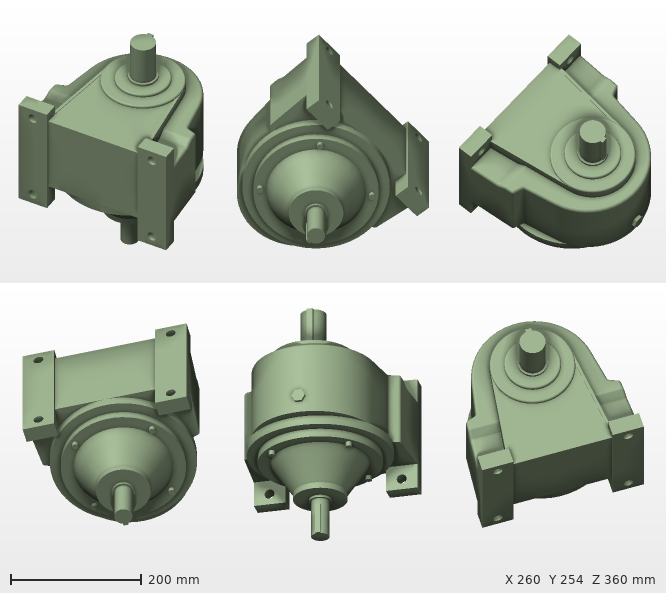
import cadquery as cq
import math


FOOT_FACE_Y = -160.0
FOOT_DEPTH = 25.0
FEET_SPAN = 260.0
FOOT_WIDTH = 50.0
FOOT_BOTTOM_Z = -40.5
FOOT_HEIGHT = 185.0
MOUNTING_HOLE_DIAMETER = 15.5
MOUNTING_HOLE_SPACING_X = 210.0
MOUNTING_HOLE_SPACING_Z = 150.0
FOOT_BACK_Y = FOOT_FACE_Y + FOOT_DEPTH
FOOT_X = (FEET_SPAN - FOOT_WIDTH) / 2
FOOT_Z = FOOT_BOTTOM_Z + FOOT_HEIGHT / 2

CASE_HEIGHT = 115.5
CASE_STEP_DROP = 7.2
CASE_STEP_Y = -71.3
CASE_STEP_ANGLE = math.radians(27)
CASE_ROUND_RADIUS = 97.5
CASE_ROUND_Y = -10.0
CASE_WALL_ANGLE = math.radians(10.5)
SHOULDER_INNER_Y = -48.5
SHOULDER_OUTER_X = 124.2
SHOULDER_OUTER_Y = -54.7
CASE_BACK_Y = CASE_ROUND_Y + CASE_ROUND_RADIUS
CASE_FILLET = 5.0
CASE_RIM_FILLET = 4.5
EDGE_MARGIN = 3.5

HUB_TOP_Z = 130.0
HUB_RADIUS = 66.0
HUB_WALL_ANGLE = math.radians(7.4)
FRONT_WALL_Y = -155.5
HUB_RECESS_DEPTH = 1.0
HUB_RECESS_MARGIN = 4.5
HUB_PLATE_HEIGHT = 3.42
BOSS_RADIUS = 44.0
BOSS_HEIGHT = 5.0
HUB_FILLET = 3.0
PLATE_TOP_Z = HUB_TOP_Z + HUB_PLATE_HEIGHT
BOSS_TOP_Z = PLATE_TOP_Z + BOSS_HEIGHT

PLUG_END_Y = 94.0
PLUG_HEAD_THICKNESS = 5.5
PLUG_ACROSS_FLATS = 18.7
PLUG_NECK_DIAMETER = 15.0
PLUG_Z = 26.0

INPUT_Y = -42.0
FLANGE_RADIUS = 113.5
FLANGE_THICKNESS = 14.8

COVER_RADIUS = 96.5
COVER_THICKNESS = 13.0
CONE_TOP_RADIUS = 76.5
CONE_HEIGHT = 52.0
NECK_RADIUS = 42.0
NECK_HEIGHT = 9.7
SCREW_COUNT = 4
SCREW_CIRCLE_RADIUS = 86.5
SCREW_HEAD_DIAMETER = 9.7
SCREW_HEAD_HEIGHT = 7.2
FIRST_SCREW_ANGLE = 45
COVER_FACE_Z = -FLANGE_THICKNESS - COVER_THICKNESS
CONE_END_Z = COVER_FACE_Z - CONE_HEIGHT
NECK_END_Z = CONE_END_Z - NECK_HEIGHT

OUTPUT_DIAMETER = 40.0
OUTPUT_COLLAR_DIAMETER = 47.0
OUTPUT_COLLAR_HEIGHT = 4.0
OUTPUT_END_Z = 207.0
OUTPUT_KEY_WIDTH = 9.7
OUTPUT_KEY_LENGTH = 60.0
OUTPUT_KEY_TOP = 23.8
INPUT_DIAMETER = 28.0
INPUT_COLLAR_DIAMETER = 35.3
INPUT_COLLAR_HEIGHT = 3.5
INPUT_END_Z = -153.0
INPUT_KEY_WIDTH = 8.0
INPUT_KEY_LENGTH = 51.0
INPUT_KEY_TOP = 17.3


def cylinder(diameter, start_z, end_z, y=0.0):
    return cq.Workplane(origin=(0, y, start_z)).circle(diameter / 2).extrude(end_z - start_z)


def tapered_outline(radius, centre_y, wall_angle, wall_points):
    """Symmetric face: a round end at +Y whose tangent walls spread towards -Y.

    wall_points follow the +X wall downwards; the first lies on the tangent line.
    """
    tangent_x = radius * math.cos(wall_angle)
    tangent_y = centre_y + radius * math.sin(wall_angle)
    mirrored_points = [(-x, y) for x, y in reversed(wall_points)]
    outline = cq.Workplane().moveTo(-tangent_x, tangent_y)
    outline = outline.threePointArc((0, centre_y + radius), (tangent_x, tangent_y))
    for x, y in wall_points + mirrored_points:
        outline = outline.lineTo(x, y)
    return outline.close()


def wall_x(radius, centre_y, wall_angle, y):
    """X of the +X tangent wall of a tapered outline at the given y."""
    return radius / math.cos(wall_angle) + (centre_y - y) * math.tan(wall_angle)


def make_case_body():
    inner_x = wall_x(CASE_ROUND_RADIUS, CASE_ROUND_Y, CASE_WALL_ANGLE, SHOULDER_INNER_Y)
    shoulder_points = [
        (inner_x, SHOULDER_INNER_Y),
        (SHOULDER_OUTER_X, SHOULDER_OUTER_Y),
        (FEET_SPAN / 2, FOOT_BACK_Y),
    ]
    outline = tapered_outline(CASE_ROUND_RADIUS, CASE_ROUND_Y, CASE_WALL_ANGLE, shoulder_points)
    body = outline.extrude(CASE_HEIGHT)
    shoulder_edges = cq.selectors.BoxSelector(
        (-FEET_SPAN, SHOULDER_OUTER_Y - EDGE_MARGIN, 0),
        (FEET_SPAN, SHOULDER_INNER_Y + EDGE_MARGIN, CASE_HEIGHT),
    )
    body = body.edges("|Z").edges(shoulder_edges).fillet(CASE_FILLET)

    step_low_z = CASE_HEIGHT - CASE_STEP_DROP
    step_end_y = CASE_STEP_Y - CASE_STEP_DROP / math.tan(CASE_STEP_ANGLE)
    step = (
        cq.Workplane("YZ")
        .moveTo(CASE_STEP_Y, CASE_HEIGHT)
        .lineTo(step_end_y, step_low_z)
        .lineTo(FOOT_FACE_Y, step_low_z)
        .lineTo(FOOT_FACE_Y, CASE_HEIGHT)
        .close()
        .extrude(FEET_SPAN, both=True)
    )
    body = body.cut(step)
    step_edges = cq.selectors.BoxSelector(
        (-EDGE_MARGIN, step_end_y - EDGE_MARGIN, step_low_z - EDGE_MARGIN),
        (EDGE_MARGIN, CASE_STEP_Y + EDGE_MARGIN, CASE_HEIGHT + EDGE_MARGIN),
    )
    body = body.edges("|X").edges(step_edges).fillet(CASE_FILLET)

    rim_start = cq.selectors.NearestToPointSelector((0, CASE_BACK_Y, CASE_HEIGHT))
    return body.edges(rim_start).fillet(CASE_RIM_FILLET)


def make_hub_block(radius, base_z):
    """Block with a hub-shaped outline, from base_z to the hub top."""
    front_x = wall_x(radius, 0, HUB_WALL_ANGLE, FRONT_WALL_Y)
    outline = tapered_outline(radius, 0, HUB_WALL_ANGLE, [(front_x, FRONT_WALL_Y)])
    return outline.extrude(HUB_TOP_Z - base_z).translate((0, 0, base_z))


def make_hub():
    recess_floor_z = HUB_TOP_Z - HUB_RECESS_DEPTH
    recess = make_hub_block(HUB_RADIUS - HUB_RECESS_MARGIN, recess_floor_z)
    hub = make_hub_block(HUB_RADIUS, 0).cut(recess)

    plate = cylinder(2 * HUB_RADIUS, recess_floor_z, PLATE_TOP_Z)
    plate = plate.faces(">Z").edges().fillet(HUB_FILLET)
    boss = cylinder(2 * BOSS_RADIUS, recess_floor_z, BOSS_TOP_Z)
    boss = boss.faces(">Z").edges().fillet(HUB_FILLET)
    return hub.union(plate).union(boss)


def make_feet():
    return (
        cq.Workplane("XZ", origin=(0, FOOT_BACK_Y, FOOT_Z))
        .pushPoints([(-FOOT_X, 0), (FOOT_X, 0)])
        .rect(FOOT_WIDTH, FOOT_HEIGHT)
        .extrude(FOOT_DEPTH)
    )


def make_mounting_holes():
    return (
        cq.Workplane("XZ", origin=(0, FOOT_BACK_Y, FOOT_Z))
        .rect(MOUNTING_HOLE_SPACING_X, MOUNTING_HOLE_SPACING_Z, forConstruction=True)
        .vertices()
        .circle(MOUNTING_HOLE_DIAMETER / 2)
        .extrude(FOOT_DEPTH)
    )


def make_plug():
    end_plane = cq.Workplane("XZ", origin=(0, PLUG_END_Y, PLUG_Z))
    across_corners = PLUG_ACROSS_FLATS / math.cos(math.pi / 6)
    head = end_plane.polygon(6, across_corners).extrude(PLUG_HEAD_THICKNESS)
    neck_length = PLUG_END_Y - CASE_BACK_Y + PLUG_NECK_DIAMETER / 2
    neck = end_plane.circle(PLUG_NECK_DIAMETER / 2).extrude(neck_length)
    return head.union(neck)


def make_housing():
    flange = cylinder(2 * FLANGE_RADIUS, -FLANGE_THICKNESS, 0, INPUT_Y)
    body = make_case_body().union(make_hub()).union(flange).union(make_feet()).union(make_plug())
    return body.cut(make_mounting_holes())


def make_input_cover():
    cover = (
        cq.Workplane("XZ", origin=(0, INPUT_Y, 0))
        .moveTo(0, -FLANGE_THICKNESS)
        .lineTo(COVER_RADIUS, -FLANGE_THICKNESS)
        .lineTo(COVER_RADIUS, COVER_FACE_Z)
        .lineTo(CONE_TOP_RADIUS, COVER_FACE_Z)
        .lineTo(NECK_RADIUS, CONE_END_Z)
        .lineTo(NECK_RADIUS, NECK_END_Z)
        .lineTo(0, NECK_END_Z)
        .close()
        .revolve(360, (0, 0, 0), (0, 1, 0))
    )
    screw_heads = (
        cq.Workplane(origin=(0, INPUT_Y, COVER_FACE_Z))
        .polarArray(SCREW_CIRCLE_RADIUS, FIRST_SCREW_ANGLE, 360, SCREW_COUNT)
        .circle(SCREW_HEAD_DIAMETER / 2)
        .extrude(-SCREW_HEAD_HEIGHT)
    )
    return cover.union(screw_heads)


def make_shaft(diameter, collar_diameter, collar_height, base_z, end_z, axis_y):
    """Shaft from base_z to end_z with a collar at its base."""
    direction = math.copysign(1, end_z - base_z)
    collar = cylinder(collar_diameter, base_z, base_z + direction * collar_height, axis_y)
    return cylinder(diameter, base_z, end_z, axis_y).union(collar)


def make_key(width, length, top, end_z, axis_y):
    """Key on the +Y side of a shaft, flush with the shaft end and round at its inner end.

    The shaft end lies away from Z = 0, so the key runs from end_z towards Z = 0.
    """
    direction = -math.copysign(1, end_z)
    round_z = end_z + direction * (length - width / 2)
    return (
        cq.Workplane("XZ", origin=(0, axis_y + top, 0))
        .moveTo(-width / 2, end_z)
        .lineTo(-width / 2, round_z)
        .threePointArc((0, end_z + direction * length), (width / 2, round_z))
        .lineTo(width / 2, end_z)
        .close()
        .extrude(top)
    )


def make_output_shaft():
    shaft = make_shaft(
        OUTPUT_DIAMETER, OUTPUT_COLLAR_DIAMETER, OUTPUT_COLLAR_HEIGHT, BOSS_TOP_Z, OUTPUT_END_Z, 0
    )
    key = make_key(OUTPUT_KEY_WIDTH, OUTPUT_KEY_LENGTH, OUTPUT_KEY_TOP, OUTPUT_END_Z, 0)
    return shaft.union(key)


def make_input_shaft():
    shaft = make_shaft(
        INPUT_DIAMETER, INPUT_COLLAR_DIAMETER, INPUT_COLLAR_HEIGHT, NECK_END_Z, INPUT_END_Z, INPUT_Y
    )
    key = make_key(INPUT_KEY_WIDTH, INPUT_KEY_LENGTH, INPUT_KEY_TOP, INPUT_END_Z, INPUT_Y)
    return shaft.union(key)


housing = make_housing()
input_cover = make_input_cover()
output_shaft = make_output_shaft()
input_shaft = make_input_shaft()

result = cq.Compound.makeCompound(
    [housing.val(), input_cover.val(), output_shaft.val(), input_shaft.val()]
)